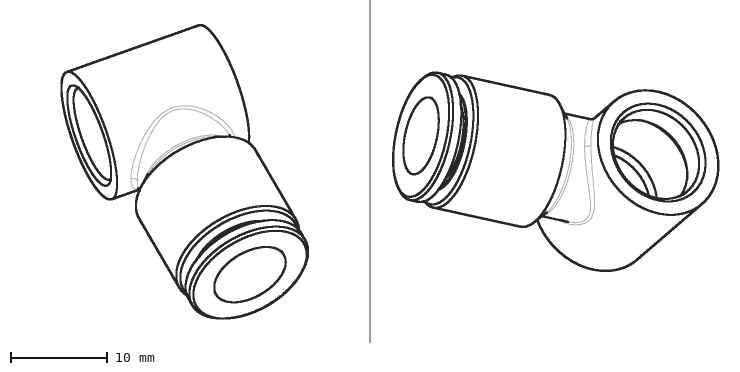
import cadquery as cq


barrel_diameter = 14.0
barrel_length = 15.0
bore_diameter = 10.0
mouth_chamfer = 0.5
groove_diameter = 10.9
groove_length = 8.53
groove_slope_length = 0.77

barrel_radius = barrel_diameter / 2
overall_length = 30.7
tip_x = overall_length - barrel_radius
neck_radius = 10.9 / 2
body_radius = barrel_radius
cone_end_x = 10.5
cone_start_x = cone_end_x - (body_radius - neck_radius)
body_end_x = 21.03
body_bevel_length = 0.4
body_bevel_depth = 0.28
neck_fillet = 0.5

lip_radius = 5.22
lip_length = 0.12
sleeve_radius = 9.4 / 2
collar_radius = 13.5 / 2
collar_thickness = 1.25
collar_chamfer = 0.3
sleeve_fillet = 0.18

pick_margin = 0.03

port_diameter = 6.5
tube_diameter = 8.15
tube_stop_x = barrel_radius


def cylinder_y(diameter, length):
    """Cylinder on the Y axis, centred on the origin."""
    return cq.Workplane("XZ").circle(diameter / 2).extrude(length / 2, both=True)


def cylinder_x(diameter, start, end):
    """Cylinder on the X axis between two stations."""
    return cq.Workplane("YZ").workplane(offset=start).circle(diameter / 2).extrude(end - start)


def revolve_x(points):
    """Closed profile of (x, radius) points turned about the X axis."""
    return cq.Workplane("XY").polyline(points).close().revolve(360, (0, 0, 0), (1, 0, 0))


def socket_body():
    """Neck, cone and gripping body, with a rounded neck-to-cone corner."""
    body = revolve_x([
        (0, 0),
        (0, neck_radius),
        (cone_start_x, neck_radius),
        (cone_end_x, body_radius),
        (body_end_x - body_bevel_length, body_radius),
        (body_end_x, body_radius - body_bevel_depth),
        (body_end_x, 0),
    ])
    corner = cq.selectors.BoxSelector(
        (cone_start_x - pick_margin, -body_radius, -body_radius),
        (cone_start_x + pick_margin, body_radius, body_radius),
    )
    return body.edges("%CIRCLE").edges(corner).fillet(neck_fillet)


def release_collar():
    """Lip, thin sleeve and flanged collar at the open end."""
    collar_x = tip_x - collar_thickness
    lip = cylinder_x(2 * lip_radius, body_end_x, body_end_x + lip_length)
    sleeve = cylinder_x(2 * sleeve_radius, body_end_x, collar_x)
    flange = cylinder_x(2 * collar_radius, collar_x, tip_x).edges(">X").chamfer(collar_chamfer)
    sleeve_corner = cq.selectors.BoxSelector(
        (collar_x - pick_margin, -sleeve_radius - pick_margin, -sleeve_radius - pick_margin),
        (collar_x + pick_margin, sleeve_radius + pick_margin, sleeve_radius + pick_margin),
        boundingbox=True,
    )
    collar = sleeve.union(flange).edges("%CIRCLE").edges(sleeve_corner).fillet(sleeve_fillet)
    return lip.union(collar)


def barrel_bore():
    """Through bore with chamfered mouths and a middle groove that has sloping ends."""
    bore = cylinder_y(bore_diameter, barrel_length)
    groove_depth = (groove_diameter - bore_diameter) / 2
    groove = cylinder_y(groove_diameter, groove_length).faces("|Y").chamfer(
        groove_slope_length, groove_depth
    )
    bore = bore.union(groove)
    for end in (-1, 1):
        mouth = (
            cq.Workplane(cq.Plane((0, end * barrel_length / 2, 0), (1, 0, 0), (0, -end, 0)))
            .circle(bore_diameter / 2 + mouth_chamfer)
            .extrude(mouth_chamfer, taper=45)
        )
        bore = bore.union(mouth)
    return bore


body = cylinder_y(barrel_diameter, barrel_length).union(socket_body())
saddle_start_x = barrel_radius / 4
saddle = cq.selectors.BoxSelector(
    (saddle_start_x, -neck_radius - pick_margin, -neck_radius - pick_margin),
    (barrel_radius + pick_margin, neck_radius + pick_margin, neck_radius + pick_margin),
)
body = body.edges(saddle).fillet(neck_fillet)

body = body.union(release_collar())
body = body.cut(barrel_bore())
body = body.cut(cylinder_x(port_diameter, 0, tube_stop_x))
result = body.cut(cylinder_x(tube_diameter, tube_stop_x, tip_x))